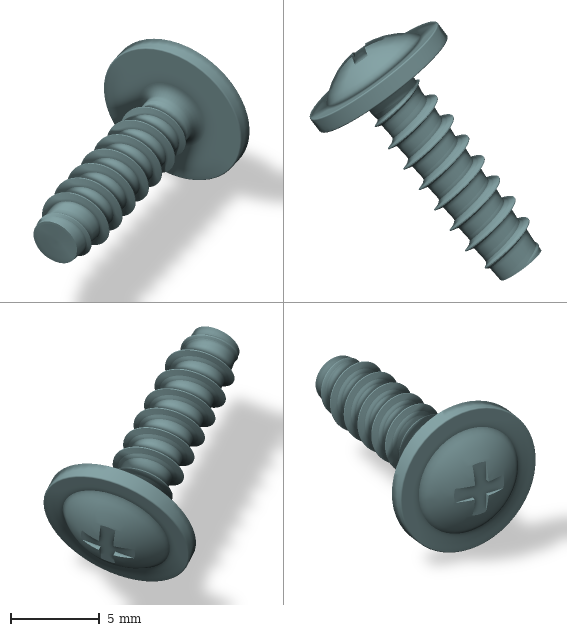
import cadquery as cq
import math


overall_length = 15.42
shank_length = 13.0

head_height = overall_length - shank_length
flange_radius = 4.5
flange_thickness = 1.0
flange_edge_fillet = 0.08
dome_base_radius = 3.3

recess_width = 0.9
recess_depth = 0.28

neck_radius = 1.57
neck_fillet = 0.57
neck_end = 0.97
core_radius = 1.45
core_start = 1.62
tip_radius = 1.4
tip_taper_length = 0.93
dish_radius = 1.28
dish_depth = 0.06

pitch = 1.46
first_crest = 0.94
thread_base_radius = 1.39
thread_inner_radius = 1.33
crest_radius = 2.02
shoulder_radius = 1.53
thread_section = [
    (-0.37, thread_base_radius),
    (-0.15, 1.65),
    (-0.03, crest_radius),
    (0.03, crest_radius),
    (0.17, shoulder_radius),
    (1.08, 1.43),
]
lead_in_start = -1.75
lead_in_end = 1.25
lead_out_start = 6.75
lead_out_end = 8.25
stretches_per_turn = 2
samples_per_stretch = 12


def dome_apex_height():
    """Height of the full dome whose highest point left by the cross recess is the head height."""
    corner_radius = recess_width / math.sqrt(2)
    rise = head_height - flange_thickness
    centre_drop = (dome_base_radius**2 - corner_radius**2 - rise**2) / (2 * rise)
    return flange_thickness - centre_drop + math.hypot(dome_base_radius, centre_drop)


def make_head():
    """Flange with a spherical dome and a cross recess of two crossing slots."""
    flange = (
        cq.Workplane("XZ")
        .circle(flange_radius)
        .extrude(-flange_thickness)
        .edges()
        .fillet(flange_edge_fillet)
    )
    apex = dome_apex_height()
    rise = apex - flange_thickness
    sphere_radius = (dome_base_radius**2 + rise**2) / (2 * rise)
    half_angle = math.asin(dome_base_radius / sphere_radius) / 2
    middle = (
        sphere_radius * math.sin(half_angle),
        apex - sphere_radius * (1 - math.cos(half_angle)),
    )
    dome = (
        cq.Workplane("XY")
        .moveTo(0, 0)
        .lineTo(dome_base_radius, 0)
        .lineTo(dome_base_radius, flange_thickness)
        .threePointArc(middle, (0, apex))
        .close()
        .revolve(360, (0, 0), (0, 1))
    )
    head = flange.union(dome)
    floor = head_height - recess_depth
    for slot_size in ((recess_width, 2 * flange_radius), (2 * flange_radius, recess_width)):
        slot = cq.Workplane("XZ", origin=(0, floor, 0)).rect(*slot_size).extrude(-head_height)
        head = head.cut(slot)
    return head


def make_core():
    """Shank without its thread, rooted inside the flange."""
    arc_offset = neck_fillet * (1 - math.sqrt(0.5))
    return (
        cq.Workplane("XY")
        .moveTo(0, flange_thickness / 2)
        .lineTo(neck_radius + neck_fillet, flange_thickness / 2)
        .lineTo(neck_radius + neck_fillet, 0)
        .threePointArc((neck_radius + arc_offset, -arc_offset), (neck_radius, -neck_fillet))
        .lineTo(neck_radius, -neck_end)
        .lineTo(core_radius, -core_start)
        .lineTo(core_radius, tip_taper_length - shank_length)
        .lineTo(tip_radius, -shank_length)
        .lineTo(dish_radius, -shank_length)
        .lineTo(0, dish_depth - shank_length)
        .close()
        .revolve(360, (0, 0), (0, 1))
    )


def thread_height_factor(turn):
    """Fraction of the full thread height: rises over the lead-in and falls over the lead-out."""
    rising = (turn - lead_in_start) / (lead_in_end - lead_in_start)
    falling = (lead_out_end - turn) / (lead_out_end - lead_out_start)
    return max(0, min(1, rising, falling))


def corner_point(offset, radius, turn):
    """Place of one corner of the thread section, at a number of turns along the helix."""
    factor = thread_height_factor(turn)
    if radius <= thread_base_radius:
        factor = 1
    elif radius <= shoulder_radius:
        factor = math.sqrt(factor)
    local_radius = thread_base_radius + (radius - thread_base_radius) * factor
    angle = 2 * math.pi * turn
    return cq.Vector(
        -local_radius * math.cos(angle),
        -first_crest - pitch * turn - offset,
        -local_radius * math.sin(angle),
    )


def make_thread():
    """Solid with ruled flanks, each split into short stretches along the helix."""
    first_offset = thread_section[0][0]
    last_offset = thread_section[-1][0]
    corners = thread_section + [
        (last_offset, thread_inner_radius),
        (first_offset, thread_inner_radius),
    ]
    length = lead_out_end - lead_in_start
    stretches = math.ceil(length * stretches_per_turn)
    faces = []
    for stretch in range(stretches):
        turns = [
            lead_in_start + length * (stretch + i / samples_per_stretch) / stretches
            for i in range(samples_per_stretch + 1)
        ]
        edges = [
            cq.Edge.makeSpline([corner_point(*corner, turn) for turn in turns])
            for corner in corners
        ]
        for edge, next_edge in zip(edges, edges[1:] + edges[:1]):
            faces.append(cq.Face.makeRuledSurface(edge, next_edge))
    for turn in (lead_in_start, lead_out_end):
        outline = [corner_point(*corner, turn) for corner in corners]
        faces.append(cq.Face.makeFromWires(cq.Wire.makePolygon(outline, close=True)))
    return cq.Workplane(obj=cq.Solid.makeSolid(cq.Shell.makeShell(faces)))


def make_thread_limits():
    """Cylinder spanning the threaded length, from the end of the neck to the tip."""
    return (
        cq.Workplane("XZ", origin=(0, -neck_end, 0))
        .circle(flange_radius)
        .extrude(shank_length - neck_end)
    )


thread = make_thread().intersect(make_thread_limits())
result = make_head().union(make_core()).union(thread)